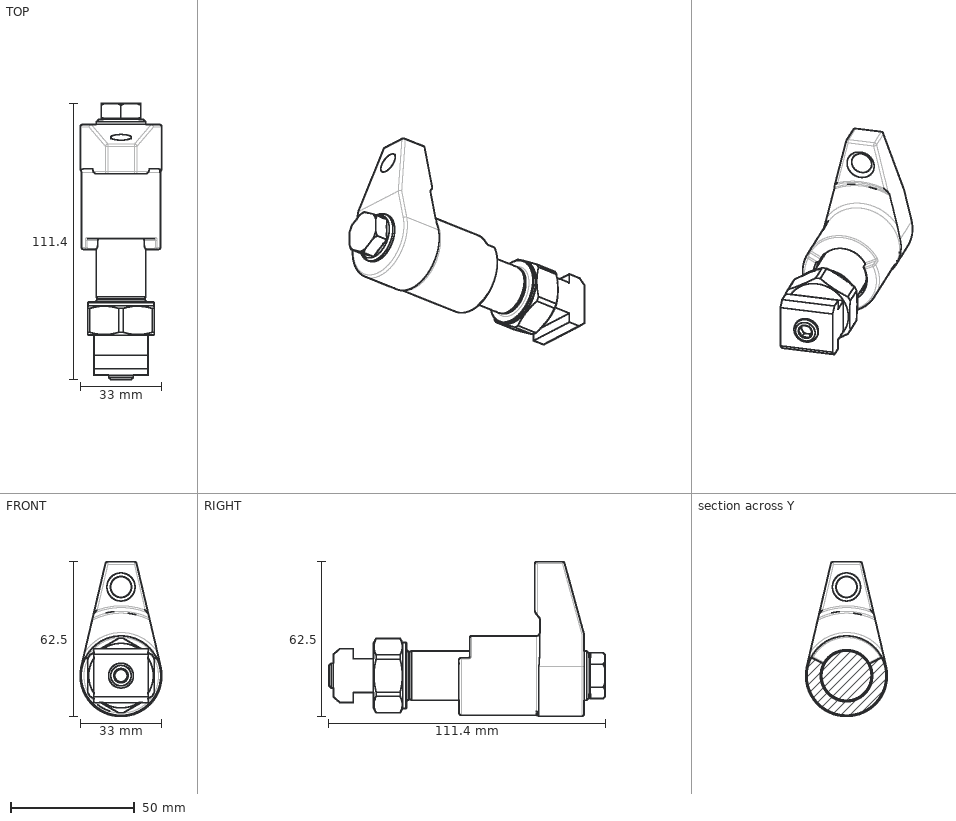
import cadquery as cq
import math


stud_tip_y = 0
block_front_y = 1.8
block_back_y = 9.9
nut_front_y = 17.9
nut_back_y = 29.9
nut_flange_y = 31.4
sleeve_front_y = 33.4
body_front_y = 52.5
notch_floor_y = 56.8
arm_pad_y = 83.0
arm_face_y = 85.1
arm_back_y = 102.9
washer_back_y = 104.9
bolt_head_y = 105.5
bolt_end_y = 111.4

block_width = 22.0
block_half_height = 10.9
neck_half_height = 6.9
block_chamfer_height = 2.3
block_chamfer_length = 2.7
stud_radius = 5.0
stud_chamfer = 0.9
socket_flats = 5.0
socket_depth = 3.3
drill_tip_length = 1.5
socket_rim_depth = 0.3

nut_flats = 27.0
nut_corner_radius = 15.0
nut_face_radius = 13.0
nut_chamfer_length = 1.1
flange_radius = 13.4
flange_chamfer = 0.3
collar_radius = 9.8
collar_fillet = 0.8

sleeve_radius = 10.0
sleeve_end_radius = 9.6
sleeve_taper_length = 0.9

body_radius = 16.0
body_end_fillet = 1.0
bore_radius = 10.5
bore_mouth_radius = 11.3
bore_mouth_length = 1.3
root_fillet = 1.5
notch_wall_angle = 27.5
notch_fillet = 0.6

head_radius = 16.5
arm_top_z = 46.0
arm_side_angle = 13.2
slope_start_z = 16.8
slope_top_y = 94.9
arm_fillet = 1.0
step_inner_radius = 25.7
step_fillet = 1.0
handle_hole_z = 35.8
handle_hole_diameter = 8.4
handle_hole_radius = handle_hole_diameter / 2
handle_sink_radius = 5.7

washer_radius = 10.0
washer_chamfer = 1.0
bolt_neck_radius = 7.4
bolt_flats = 16.0
bolt_chamfer = 0.8

margin = 0.1


def revolved(points):
    """Solid of revolution about Y from (radius, y) points."""
    return cq.Workplane("XY").polyline(points).close().revolve(360, (0, 0, 0), (0, 1, 0))


def cylinder(radius, start_y, end_y):
    return cq.Workplane("XZ", origin=(0, end_y, 0)).circle(radius).extrude(end_y - start_y)


def hexagon(flats, start_y, end_y):
    """Hexagonal prism along Y with two corners on the X axis."""
    prism = cq.Workplane("XZ", origin=(0, end_y, 0)).polygon(6, hex_corner(flats) * 2)
    return prism.extrude(end_y - start_y)


def upright(hexagon_prism):
    """Turn a hexagonal prism so that two corners lie on the Z axis."""
    return hexagon_prism.rotate((0, 0, 0), (0, 1, 0), 30)


def hex_corner(flats):
    """Corner radius of a hexagon from its width across flats."""
    return flats / math.sqrt(3)


def make_block():
    face_half_height = block_half_height - block_chamfer_height
    chamfer_y = block_front_y + block_chamfer_length
    half_profile = [
        (block_front_y, face_half_height),
        (chamfer_y, block_half_height),
        (block_back_y, block_half_height),
        (block_back_y, neck_half_height),
        (nut_front_y, neck_half_height),
    ]
    mirrored = [(y, -z) for y, z in reversed(half_profile)]
    block = cq.Workplane("YZ").polyline(half_profile + mirrored).close()
    return block.extrude(block_width / 2, both=True)


def make_stud_tip():
    tip = cylinder(stud_radius, stud_tip_y, block_front_y)
    return tip.faces("<Y").chamfer(stud_chamfer)


def make_socket():
    """Hexagon socket with a small countersunk rim and a conical bottom."""
    inner_radius = socket_flats / 2
    rim_radius = hex_corner(socket_flats)
    socket = hexagon(socket_flats, stud_tip_y, socket_depth)
    rim = revolved([(0, stud_tip_y), (rim_radius, stud_tip_y), (inner_radius, socket_rim_depth),
                    (0, socket_rim_depth)])
    drill_tip = revolved([(0, socket_depth), (inner_radius, socket_depth),
                          (0, socket_depth + drill_tip_length)])
    return socket.union(rim).union(drill_tip)


def make_nut():
    turned = revolved([
        (0, nut_front_y),
        (nut_face_radius, nut_front_y),
        (nut_corner_radius, nut_front_y + nut_chamfer_length),
        (nut_corner_radius, nut_back_y - nut_chamfer_length),
        (nut_face_radius, nut_back_y),
        (0, nut_back_y),
    ])
    nut = upright(hexagon(nut_flats, nut_front_y, nut_back_y)).intersect(turned)
    flange = cylinder(flange_radius, nut_back_y, nut_flange_y)
    return nut.union(flange.faces(">Y").chamfer(flange_chamfer))


def make_sleeve():
    """Sleeve through the body, with a grooved and flared joint at the nut."""
    collar_y = nut_flange_y + collar_fillet
    flare_radius = collar_radius + collar_fillet
    bend = collar_fillet * math.sqrt(0.5)
    profile = (
        cq.Workplane("XY")
        .moveTo(0, nut_flange_y)
        .lineTo(flare_radius, nut_flange_y)
        .threePointArc((flare_radius - bend, collar_y - bend), (collar_radius, collar_y))
        .lineTo(sleeve_end_radius, sleeve_front_y - sleeve_taper_length)
        .lineTo(sleeve_radius, sleeve_front_y)
        .lineTo(sleeve_radius, arm_face_y)
        .lineTo(0, arm_face_y)
        .close()
    )
    return profile.revolve(360, (0, 0, 0), (0, 1, 0))


def make_arm_outline(start_y, end_y):
    """Round head with two tangent sides running up to the flat top."""
    angle = math.radians(arm_side_angle)
    tangent_x = head_radius * math.cos(angle)
    tangent_z = head_radius * math.sin(angle)
    top_x = head_radius / math.cos(angle) - arm_top_z * math.tan(angle)
    outline = (
        cq.Workplane("XZ", origin=(0, end_y, 0))
        .moveTo(-top_x, arm_top_z)
        .lineTo(top_x, arm_top_z)
        .lineTo(tangent_x, tangent_z)
        .threePointArc((0, -head_radius), (-tangent_x, tangent_z))
        .close()
    )
    return outline.extrude(end_y - start_y)


def make_step_cutter():
    """Turned clearance below the handle pad, with a conical, rounded shoulder."""
    depth = arm_face_y - arm_pad_y
    outer_radius = step_inner_radius + depth
    rim_radius = outer_radius + 2 * depth
    cutter = revolved([
        (0, arm_pad_y - depth),
        (rim_radius, arm_pad_y - depth),
        (rim_radius, arm_pad_y),
        (outer_radius, arm_pad_y),
        (step_inner_radius, arm_face_y),
        (0, arm_face_y),
    ])
    shoulder = cq.selectors.BoxSelector(
        (-outer_radius - 1.1, arm_pad_y - margin, -outer_radius - 1.1),
        (outer_radius + 1.1, arm_face_y + margin, outer_radius + 1.1),
        boundingbox=True,
    )
    return cutter.edges(shoulder).edges("%CIRCLE").fillet(step_fillet)


def make_handle_hole():
    sink_depth = handle_sink_radius - handle_hole_radius
    hole = cylinder(handle_hole_radius, arm_pad_y, arm_back_y)
    sink = revolved([
        (0, arm_pad_y),
        (handle_sink_radius, arm_pad_y),
        (handle_hole_radius, arm_pad_y + sink_depth),
        (0, arm_pad_y + sink_depth),
    ])
    return hole.union(sink).translate((0, 0, handle_hole_z))


def make_arm():
    arm = make_arm_outline(arm_pad_y, arm_back_y)
    slope = (
        cq.Workplane("YZ")
        .polyline([(arm_back_y, slope_start_z), (slope_top_y, arm_top_z), (arm_back_y, arm_top_z)])
        .close()
        .extrude(head_radius, both=True)
    )
    arm = arm.cut(slope)

    ridge = cq.selectors.BoxSelector(
        (-1.1, arm_back_y - 1.1, slope_start_z - 1.1), (1.1, arm_back_y + 1.1, slope_start_z + 1.1)
    )
    middle_y = (arm_pad_y + arm_back_y) / 2
    seams = cq.selectors.BoxSelector(
        (-head_radius, middle_y - 1.1, 0), (head_radius, middle_y + 1.1, head_radius / 2)
    )
    arm = arm.edges(cq.selectors.InverseSelector(ridge + seams)).fillet(arm_fillet)
    return arm.cut(make_step_cutter()).cut(make_handle_hole())


def make_notch():
    """Sector open at the front of the body, between two radial walls."""
    angle = math.radians(notch_wall_angle)
    reach = 2 * body_radius
    side_x = reach * math.cos(angle)
    side_z = reach * math.sin(angle)
    sector = (
        cq.Workplane("XZ", origin=(0, notch_floor_y, 0))
        .lineTo(side_x, side_z)
        .threePointArc((0, reach), (-side_x, side_z))
        .close()
    )
    notch = sector.extrude(notch_floor_y - body_front_y)
    wall_feet = cq.selectors.BoxSelector(
        (-reach, notch_floor_y - margin, margin), (reach, notch_floor_y + margin, side_z)
    )
    return notch.edges(wall_feet).fillet(notch_fillet)


def is_notch_rim(edge):
    """True for the edges around the notch, except those on the bore or across its floor."""
    middle = edge.positionAt(0.5)
    wall_bottom_z = bore_radius * math.sin(math.radians(notch_wall_angle))
    at_notch = middle.y < notch_floor_y + margin and middle.z > wall_bottom_z + margin
    is_foot = edge.geomType() == "LINE" and middle.y > notch_floor_y - notch_fillet - margin
    is_across = is_foot and math.hypot(middle.x, middle.z) < body_radius - margin
    on_bore = math.hypot(middle.x, middle.z) < bore_mouth_radius + margin
    return at_notch and not is_across and not on_bore


def make_body():
    """Bored body that flares into the arm and has a notch in its front end."""
    flare_radius = body_radius + root_fillet
    flare_y = arm_face_y - root_fillet
    bend = root_fillet * math.sqrt(0.5)
    profile = (
        cq.Workplane("XY")
        .moveTo(bore_radius, body_front_y + bore_mouth_length)
        .lineTo(bore_mouth_radius, body_front_y)
        .lineTo(body_radius, body_front_y)
        .lineTo(body_radius, flare_y)
        .threePointArc((flare_radius - bend, flare_y + bend), (flare_radius, arm_face_y))
        .lineTo(bore_radius, arm_face_y)
        .close()
    )
    body = profile.revolve(360, (0, 0, 0), (0, 1, 0))
    body = body.faces("<Y").edges(cq.selectors.RadiusNthSelector(1)).fillet(body_end_fillet)
    body = body.intersect(make_arm_outline(body_front_y, arm_face_y))
    body = body.cut(make_notch())
    notch_rim = [edge for edge in body.edges().vals() if is_notch_rim(edge)]
    return body.newObject(notch_rim).fillet(notch_fillet)


def make_washer():
    washer = cylinder(washer_radius, arm_back_y, washer_back_y)
    return washer.faces(">Y").chamfer(washer_chamfer)


def make_bolt():
    """Hexagon bolt head with chamfered corners on a short round neck."""
    corner_radius = hex_corner(bolt_flats)
    envelope = cylinder(corner_radius, bolt_head_y, bolt_end_y).faces(">Y").chamfer(bolt_chamfer)
    head = upright(hexagon(bolt_flats, bolt_head_y, bolt_end_y)).intersect(envelope)
    return head.union(cylinder(bolt_neck_radius, washer_back_y, bolt_head_y))


result = make_block()
for make_part in (make_stud_tip, make_nut, make_sleeve, make_body, make_arm, make_washer, make_bolt):
    result = result.union(make_part())
result = result.cut(make_socket())